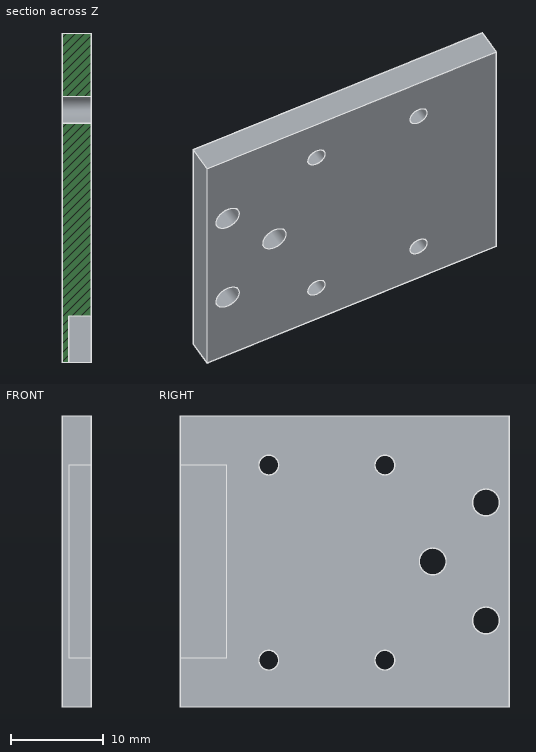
import cadquery as cq

thickness = 3.17
length = 35.43
height = 31.35

recess_floor = 0.75
recess_height = 20.8
recess_length = 5.0

small_diameter = 2.1
small_spacing_y = 12.5
small_spacing_z = 21.0
small_centre_y = -1.93
small_centre_z = -0.125

large_diameter = 2.85
pair_y = 15.2
pair_spacing_z = 12.7
single_y = 9.47


def make_plate():
    return cq.Workplane("XY").box(thickness, length, height)


def make_recess():
    depth = thickness - recess_floor
    return (
        cq.Workplane("XY")
        .box(depth, recess_length, recess_height)
        .translate((recess_floor / 2, (recess_length - length) / 2, 0))
    )


def make_holes(diameter, centres):
    """Cylinders along X through the whole thickness, at (y, z) centres."""
    return (
        cq.Workplane("YZ", origin=(-thickness / 2, 0, 0))
        .pushPoints(centres)
        .circle(diameter / 2)
        .extrude(thickness)
    )


small_centres = [
    (
        small_centre_y + side_y * small_spacing_y / 2,
        small_centre_z + side_z * small_spacing_z / 2,
    )
    for side_y in (-1, 1)
    for side_z in (-1, 1)
]
large_centres = [
    (pair_y, -pair_spacing_z / 2),
    (pair_y, pair_spacing_z / 2),
    (single_y, 0),
]

result = (
    make_plate()
    .cut(make_recess())
    .cut(make_holes(small_diameter, small_centres))
    .cut(make_holes(large_diameter, large_centres))
)